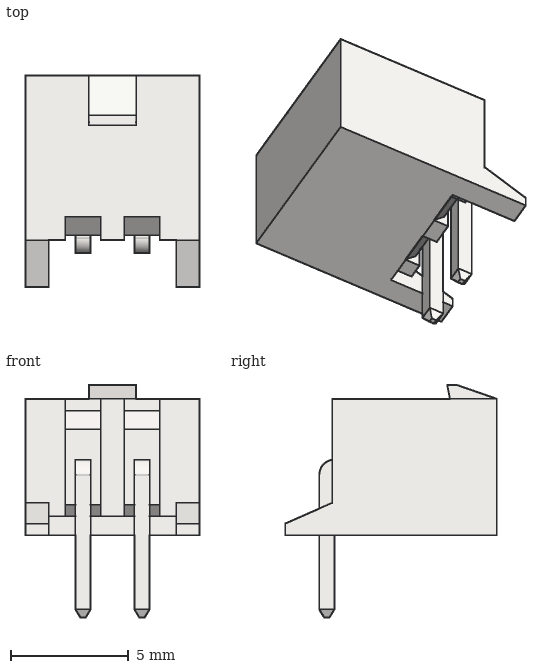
import cadquery as cq
import math

housing_width = 7.4
housing_depth = 7.0
housing_height = 5.8
front_y = -housing_depth / 2
back_y = housing_depth / 2

latch_width = 2.0
latch_rise = 0.59
latch_crest_start = 1.7
latch_base_length = 2.0
latch_crest_end = 2.12

leg_width = 1.0
leg_reach = 2.0
leg_root_height = 1.38
leg_toe_height = 0.5

pitch = 2.5
contact_x = (-pitch / 2, pitch / 2)
pocket_width = 1.5
pocket_depth = 0.2
mouth_depth = 1.0
mouth_straight_height = 0.5
mouth_slope_height = 0.8

undercut_height = 0.8
undercut_depth = 1.0
undercut_slope_height = 0.5

pin_size = 0.65
pin_inset = 0.1
pin_top = 3.22
pin_tip_z = -3.5
pin_taper_length = 0.35
pin_tip_size = 0.22
pin_embed = 1.0


def extrude_along_x(profile, width, center_x=0):
    """Extrude a closed (Y, Z) profile symmetrically about center_x."""
    return profile.extrude(width / 2, both=True).translate((center_x, 0, 0))


def yz_polygon(points):
    """Closed outline from (Y, Z) points."""
    return cq.Workplane("YZ").polyline(points).close()


def make_block():
    return cq.Workplane("XY").box(
        housing_width, housing_depth, housing_height, centered=(True, True, False)
    )


def make_latch():
    roof = housing_height
    crest = roof + latch_rise
    profile = yz_polygon([
        (back_y, roof),
        (back_y - latch_crest_start, crest),
        (back_y - latch_crest_end, crest),
        (back_y - latch_base_length, roof),
    ])
    return extrude_along_x(profile, latch_width)


def make_leg(side):
    toe_y = front_y - leg_reach
    profile = yz_polygon([
        (front_y, 0),
        (toe_y, 0),
        (toe_y, leg_toe_height),
        (front_y, leg_root_height),
    ])
    return extrude_along_x(profile, leg_width, side * (housing_width - leg_width) / 2)


def make_pocket(center_x):
    """Shallow recess that deepens at the roof and slopes back into the undercut."""
    wall_y = front_y + pocket_depth
    mouth_y = front_y + mouth_depth
    mouth_bottom = housing_height - mouth_straight_height
    profile = yz_polygon([
        (front_y, housing_height),
        (mouth_y, housing_height),
        (mouth_y, mouth_bottom),
        (wall_y, mouth_bottom - mouth_slope_height),
        (wall_y, undercut_height + undercut_slope_height),
        (wall_y + undercut_slope_height, undercut_height),
        (front_y, undercut_height),
    ])
    return extrude_along_x(profile, pocket_width, center_x)


def make_undercut():
    profile = yz_polygon([
        (front_y, 0),
        (front_y, undercut_height),
        (front_y + undercut_depth, undercut_height),
        (front_y + undercut_depth, 0),
    ])
    return extrude_along_x(profile, housing_width - 2 * leg_width)


def make_pin(center_x):
    """Square pin: a stub leaving the housing, a rounded bend and a tapered tail."""
    inner_y = front_y + pin_inset
    outer_y = inner_y - pin_size
    stub_bottom = pin_top - pin_size
    bend_offset = pin_size * math.sin(math.radians(45))
    taper_z = pin_tip_z + pin_taper_length
    root_y = inner_y + pin_embed
    profile = (
        cq.Workplane("YZ")
        .moveTo(inner_y, taper_z)
        .lineTo(outer_y, taper_z)
        .lineTo(outer_y, stub_bottom)
        .threePointArc((inner_y - bend_offset, stub_bottom + bend_offset), (inner_y, pin_top))
        .lineTo(root_y, pin_top)
        .lineTo(root_y, stub_bottom)
        .lineTo(inner_y, stub_bottom)
        .close()
    )
    shank = extrude_along_x(profile, pin_size, center_x)
    tip = (
        cq.Workplane("XY", origin=(center_x, (inner_y + outer_y) / 2, taper_z))
        .rect(pin_size, pin_size)
        .workplane(offset=-pin_taper_length)
        .rect(pin_tip_size, pin_tip_size)
        .loft(ruled=True)
    )
    return shank.union(tip)


result = make_block().union(make_latch()).cut(make_undercut())
for side in (-1, 1):
    result = result.union(make_leg(side))
for x in contact_x:
    result = result.cut(make_pocket(x)).union(make_pin(x))